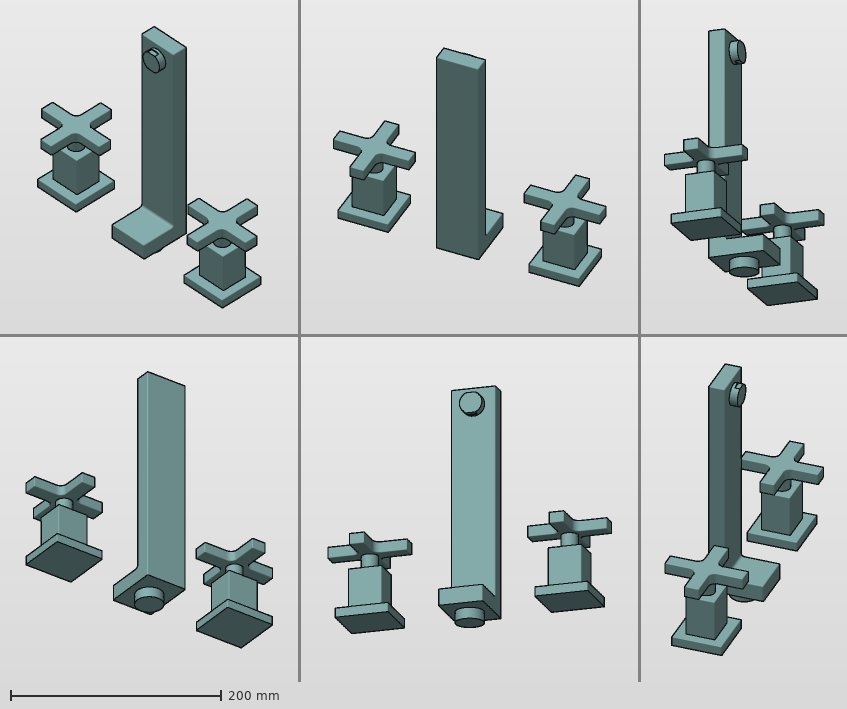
import cadquery as cq
import math

overall_width = 279.8
cross_span = 79.7
handle_offset = (overall_width - cross_span) / 2

plate_width = 53.2
plate_depth = 51.2
plate_height = 9.5
column_width = 33.5
column_depth = 29.7
column_top = 51.2
stem_diameter = 16.8
cross_bottom = 66.3
cross_top = 77.8
arm_width = 15.0
cross_inner_radius = 6.7
handle_edge_radius = 0.8

spout_width = 44.5
spout_depth = 56.2
spout_height = 228.8
riser_thickness = 17.0
riser_front = spout_depth / 2 - riser_thickness
foot_height = 16.8
spout_inner_radius = 2.8
spout_edge_radius = 1.0

nozzle_diameter = 22.5
nozzle_length = 8.5
nozzle_height = 211.5
flat_width = 9.5
flat_length = 5.0

inlet_diameter = 28.0
inlet_length = 11.0


def make_block(width, depth, height):
    """Box standing on Z = 0, centred on the Z axis, with softened upright and top edges."""
    block = cq.Workplane("XY").box(width, depth, height, centered=(True, True, False))
    return block.edges("|Z or >Z").fillet(handle_edge_radius)


def make_cross():
    """Four-armed grip with rounded inner corners and softened outer edges."""
    height = cross_top - cross_bottom
    base = cq.Workplane("XY", origin=(0, 0, cross_bottom))
    along_x = base.box(cross_span, arm_width, height, centered=(True, True, False))
    along_y = base.box(arm_width, cross_span, height, centered=(True, True, False))
    cross = along_x.union(along_y)
    inner_box = cq.selectors.BoxSelector(
        (-arm_width, -arm_width, cross_bottom - height),
        (arm_width, arm_width, cross_top + height),
    )
    cross = cross.edges("|Z").edges(inner_box).fillet(cross_inner_radius)
    cross = cross.faces("<X or >X or <Y or >Y").edges("|Z").fillet(handle_edge_radius)
    return cross.faces("<Z or >Z").edges().fillet(handle_edge_radius)


def make_handle(center_x):
    """One complete valve handle standing at the given X position."""
    plate = make_block(plate_width, plate_depth, plate_height)
    column = make_block(column_width, column_depth, column_top)
    stem = (
        cq.Workplane("XY", origin=(0, 0, plate_height))
        .circle(stem_diameter / 2)
        .extrude((cross_bottom + cross_top) / 2 - plate_height)
    )
    handle = plate.union(column).union(stem).union(make_cross())
    return handle.translate((center_x, 0, 0))


def make_spout_body():
    """Upright riser and forward foot as one L profile with rounded edges."""
    back = spout_depth / 2
    front = -back
    body = (
        cq.Workplane("YZ", origin=(-spout_width / 2, 0, 0))
        .moveTo(front, 0)
        .lineTo(back, 0)
        .lineTo(back, spout_height)
        .lineTo(riser_front, spout_height)
        .lineTo(riser_front, foot_height + spout_inner_radius)
        .radiusArc((riser_front - spout_inner_radius, foot_height), spout_inner_radius)
        .lineTo(front, foot_height)
        .close()
        .extrude(spout_width)
    )
    outer_edges = body.faces("<X or >X or >Z or <Y or >Y").edges().edges("not <Z")
    return outer_edges.fillet(spout_edge_radius)


def make_nozzle():
    """Outlet nozzle with a wrench flat on its upper and lower sides."""
    radius = nozzle_diameter / 2
    tip = riser_front - nozzle_length
    nozzle = (
        cq.Workplane("XZ", origin=(0, riser_front + riser_thickness / 2, nozzle_height))
        .circle(radius)
        .extrude(nozzle_length + riser_thickness / 2)
    )
    flat_distance = math.sqrt(radius**2 - (flat_width / 2) ** 2)
    for side in (-1, 1):
        cutter = cq.Workplane("XY").box(nozzle_diameter, flat_length, radius)
        cutter = cutter.translate(
            (0, tip + flat_length / 2, nozzle_height + side * (flat_distance + radius / 2))
        )
        nozzle = nozzle.cut(cutter)
    return nozzle


def make_spout():
    """Spout body joined with its nozzle and inlet pipe."""
    inlet = (
        cq.Workplane("XY", origin=(0, 0, -inlet_length))
        .circle(inlet_diameter / 2)
        .extrude(inlet_length + foot_height / 2)
    )
    return make_spout_body().union(make_nozzle()).union(inlet)


spout = make_spout()
handles = [make_handle(side * handle_offset) for side in (-1, 1)]

result = cq.Compound.makeCompound([spout.val(), *[handle.val() for handle in handles]])